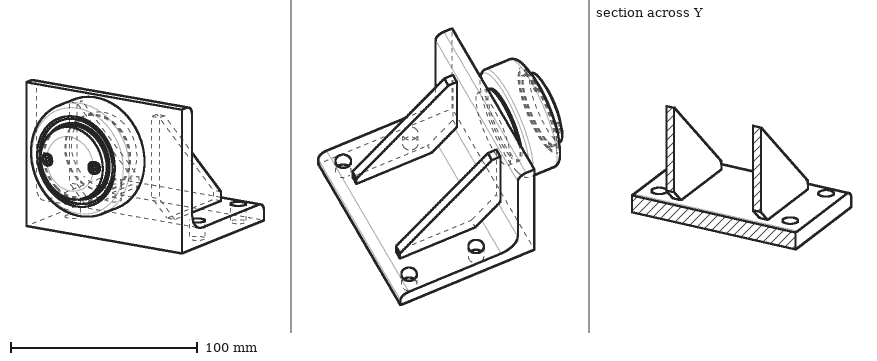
import cadquery as cq
import math

width = 100.0
leg_length = 80.0
plate_thickness = 10.0
outer_edge_radius = 5.0
inner_corner_radius = 10.0

hole_diameter = 8.4
hole_spacing_x = 80.0
hole_front_y = 30.0
hole_back_y = 70.0

rib_thickness = 5.0
rib_center_x = 26.4
rib_reach = 70.0
rib_end_height = 15.0
rib_relief = 25.0

axis_height = 49.8
collar_diameter = 42.1
collar_length = 5.9
neck_diameter = 41.5
roller_diameter = 62.8
roller_back = 6.9
roller_front = 27.2
crown_rise = 0.1
back_round = 1.6
shoulder_start = 22.7
shoulder_end = 25.5
shoulder_radius = 29.3
shoulder_bulge = 0.6
rim_radius = 25.0
recess_diameter = 47.0
recess_depth = 0.9
step_diameter = 42.0
step_front = 27.7
step_edge_diameter = 41.5
step_edge = 27.3
cap_diameter = 40.0
cap_edge = 31.4
cap_front = 33.0
cap_face_radius = 15.0

pin_hole_diameter = 6.5
pin_hole_depth = 1.4
pin_diameter = 5.3
pin_height = 0.9
pin_dimple_diameter = 2.4
pin_dimple_depth = 0.5


def make_bracket():
    """L-shaped bracket with rounded edges and four mounting holes."""
    bracket = (
        cq.Workplane("YZ")
        .polyline([
            (0, 0),
            (leg_length, 0),
            (leg_length, plate_thickness),
            (plate_thickness, plate_thickness),
            (plate_thickness, leg_length),
            (0, leg_length),
        ])
        .close()
        .extrude(width / 2, both=True)
    )

    def edge_at(y, z):
        return cq.selectors.NearestToPointSelector((0, y, z))

    bracket = bracket.edges(edge_at(plate_thickness, plate_thickness)).fillet(inner_corner_radius)
    bracket = bracket.edges(edge_at(leg_length, plate_thickness)).fillet(outer_edge_radius)
    bracket = bracket.edges(edge_at(plate_thickness, leg_length)).fillet(outer_edge_radius)
    hole_places = [
        (side * hole_spacing_x / 2, y)
        for side in (-1, 1)
        for y in (hole_front_y, hole_back_y)
    ]
    holes = (
        cq.Workplane("XY")
        .pushPoints(hole_places)
        .circle(hole_diameter / 2)
        .extrude(plate_thickness)
    )
    return bracket.cut(holes)


def make_rib(center_x):
    """Diagonal rib, relieved at the inner corner of the bracket."""
    return (
        cq.Workplane("YZ", origin=(center_x, 0, 0))
        .polyline([
            (rib_relief, plate_thickness),
            (rib_reach, plate_thickness),
            (rib_reach, rib_end_height),
            (rib_end_height, rib_reach),
            (plate_thickness, rib_reach),
            (plate_thickness, rib_relief),
        ])
        .close()
        .extrude(rib_thickness / 2, both=True)
    )


def make_roller():
    """Crowned roller, its collar and its cap, turned about one axis."""
    roller_radius = roller_diameter / 2
    edge_radius = roller_radius - crown_rise
    crown_start = roller_back + back_round
    crown_middle = (crown_start + shoulder_start) / 2
    recess_floor = roller_front - recess_depth
    back_arc_offset = back_round * (1 - math.sqrt(0.5))
    shoulder_middle = (
        (edge_radius + shoulder_radius) / 2 + shoulder_bulge,
        -(shoulder_start + shoulder_end) / 2 - shoulder_bulge / 2,
    )
    return (
        cq.Workplane("XY")
        .lineTo(collar_diameter / 2, 0)
        .lineTo(collar_diameter / 2, -collar_length)
        .lineTo(neck_diameter / 2, -collar_length)
        .lineTo(neck_diameter / 2, -roller_back)
        .lineTo(edge_radius - back_round, -roller_back)
        .threePointArc(
            (edge_radius - back_arc_offset, -roller_back - back_arc_offset),
            (edge_radius, -crown_start),
        )
        .threePointArc((roller_radius, -crown_middle), (edge_radius, -shoulder_start))
        .threePointArc(shoulder_middle, (shoulder_radius, -shoulder_end))
        .lineTo(rim_radius, -roller_front)
        .lineTo(recess_diameter / 2, -roller_front)
        .lineTo(recess_diameter / 2, -recess_floor)
        .lineTo(step_diameter / 2, -recess_floor)
        .lineTo(step_diameter / 2, -step_edge)
        .lineTo(step_edge_diameter / 2, -step_front)
        .lineTo(cap_diameter / 2, -step_front)
        .lineTo(cap_diameter / 2, -cap_edge)
        .lineTo(cap_face_radius, -cap_front)
        .lineTo(0, -cap_front)
        .close()
        .revolve(360, (0, 0, 0), (0, 1, 0))
        .translate((0, 0, axis_height))
    )


def front_disc(center_x, diameter, front, depth):
    """Disc on the roller's height, reaching back from the given front."""
    return (
        cq.Workplane("XZ", origin=(center_x, -front, axis_height))
        .circle(diameter / 2)
        .extrude(-depth)
    )


def add_pin(body, center_x):
    """Round pocket in the cap holding a dimpled pin."""
    pocket_floor = cap_front - pin_hole_depth
    pin_front = pocket_floor + pin_height
    body = body.cut(front_disc(center_x, pin_hole_diameter, cap_front, pin_hole_depth))
    body = body.union(front_disc(center_x, pin_diameter, pin_front, pin_height))
    return body.cut(front_disc(center_x, pin_dimple_diameter, pin_front, pin_dimple_depth))


result = make_bracket()
for side in (-1, 1):
    result = result.union(make_rib(side * rib_center_x))
result = result.union(make_roller())
for side in (-1, 1):
    result = add_pin(result, side * cap_face_radius)